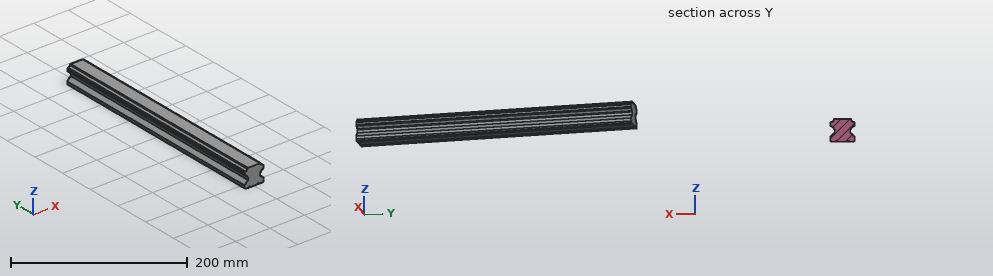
import cadquery as cq

length = 320.0
width = 28.0
height = 26.0
half_width = width / 2

top_half_width = 9.3
nose_middle = 20.0
nose_half_flat = 1.3
nose_chamfer = 1.3
track_inner_x = 10.0
track_outer_x = half_width - nose_chamfer
track_inner_rise = 5.0
track_outer_rise = nose_half_flat + nose_chamfer
track_sag = 0.5

waist_half_width = 9.0
waist_top = 13.8
waist_bottom = 10.2
foot_side_top = 5.0
foot_corner_width = 0.5
foot_corner_height = 1.0
foot_chamfer = 1.5

groove_offset = 6.7
groove_radius = 1.0

plug_diameter = 14.0
plug_thickness = 3.2
plug_pitch = 80.0
plug_count = 4


def arc_middle(start, end, sag):
    """Middle point of an arc that bows to the left of its chord by sag."""
    dx = end[0] - start[0]
    dz = end[1] - start[1]
    chord = (dx**2 + dz**2) ** 0.5
    mid_x = (start[0] + end[0]) / 2
    mid_z = (start[1] + end[1]) / 2
    return mid_x - dz / chord * sag, mid_z + dx / chord * sag


def half_rail():
    """The +X half of the rail, without its underside groove."""
    lower_inner = (track_inner_x, nose_middle - track_inner_rise)
    lower_outer = (track_outer_x, nose_middle - track_outer_rise)
    upper_outer = (track_outer_x, nose_middle + track_outer_rise)
    upper_inner = (track_inner_x, nose_middle + track_inner_rise)
    profile = (
        cq.Workplane("XZ", origin=(0, length / 2, 0))
        .moveTo(0, 0)
        .lineTo(half_width - foot_chamfer, 0)
        .lineTo(half_width, foot_chamfer)
        .lineTo(half_width, foot_side_top)
        .lineTo(half_width - foot_corner_width, foot_side_top + foot_corner_height)
        .lineTo(waist_half_width, waist_bottom)
        .lineTo(waist_half_width, waist_top)
        .lineTo(*lower_inner)
        .threePointArc(arc_middle(lower_inner, lower_outer, track_sag), lower_outer)
        .lineTo(half_width, nose_middle - nose_half_flat)
        .lineTo(half_width, nose_middle + nose_half_flat)
        .lineTo(*upper_outer)
        .threePointArc(arc_middle(upper_outer, upper_inner, track_sag), upper_inner)
        .lineTo(top_half_width, height)
        .lineTo(0, height)
        .close()
    )
    return profile.extrude(length)


def groove():
    """Round cutter for the underside groove on the +X side."""
    return (
        cq.Workplane("XZ", origin=(groove_offset, length / 2, 0))
        .circle(groove_radius)
        .extrude(length)
    )


def plugs():
    """One disc for each mounting hole, its upper face level with the rail top."""
    return (
        cq.Workplane("XY", origin=(0, 0, height - plug_thickness))
        .rarray(3.2, plug_pitch, 1, plug_count)
        .circle(plug_diameter / 2)
        .extrude(plug_thickness)
    )


half = half_rail().cut(groove())
rail = half.union(half.mirror("YZ"))

result = rail.cut(plugs()).union(plugs(), clean=False)